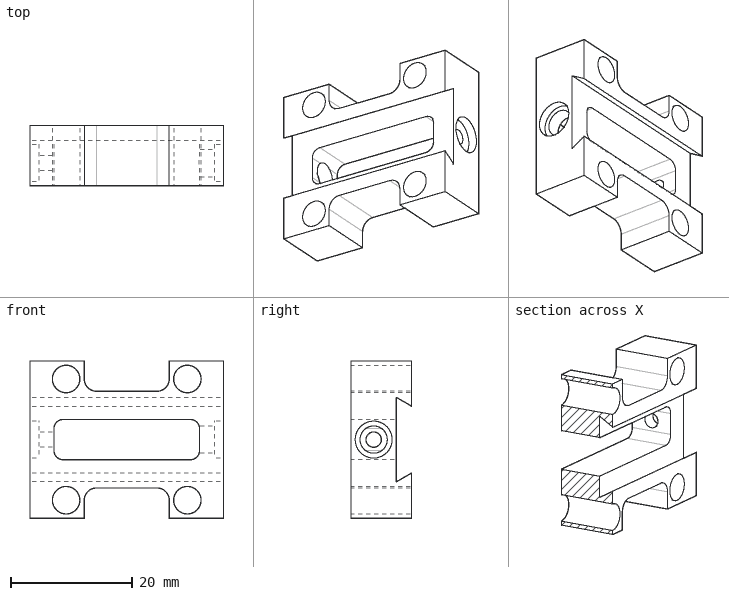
import cadquery as cq
import math

LENGTH = 32.0
DEPTH = 10.0
HEIGHT = 26.0

CORNER_HOLE_DIAMETER = 4.5
CORNER_HOLE_SPACING = 20.0

NOTCH_WIDTH = 14.0
NOTCH_DEPTH = 5.0
NOTCH_CORNER_RADIUS = 2.0

WINDOW_LENGTH = 24.0
WINDOW_HEIGHT = 6.6
WINDOW_CORNER_RADIUS = 1.5

DOVETAIL_DEPTH = 2.5
DOVETAIL_MOUTH = 11.0
DOVETAIL_FLANK_ANGLE = 30.0

NARROW_BORE_DIAMETER = 2.5
COUNTERBORE_DIAMETER = 6.1
COUNTERBORE_DEPTH = 1.5
WIDE_BORE_DIAMETER = 4.5

LEFT_FACE = -LENGTH / 2
RIGHT_FACE = LENGTH / 2
BACK_FACE = DEPTH / 2
DOVETAIL_FLOOR = BACK_FACE - DOVETAIL_DEPTH
CROSS_HOLE_Y = (-DEPTH / 2 + DOVETAIL_FLOOR) / 2


def rounded_bar(length, height, radius):
    """Bar running the full depth in Y with its four long edges rounded."""
    return cq.Workplane("XY").box(length, DEPTH, height).edges("|Y").fillet(radius)


def edge_notch(side):
    """Notch cutter for the top (side=1) or bottom (side=-1) edge.

    The cutter is centred on the outer face, so only its inner half removes material.
    """
    cutter = rounded_bar(NOTCH_WIDTH, 2 * NOTCH_DEPTH, NOTCH_CORNER_RADIUS)
    return cutter.translate((0, 0, side * HEIGHT / 2))


def corner_holes():
    return (
        cq.Workplane("XZ")
        .rarray(CORNER_HOLE_SPACING, CORNER_HOLE_SPACING, 2, 2)
        .circle(CORNER_HOLE_DIAMETER / 2)
        .extrude(DEPTH / 2, both=True)
    )


def dovetail_channel():
    half_mouth = DOVETAIL_MOUTH / 2
    half_floor = half_mouth + DOVETAIL_DEPTH * math.tan(math.radians(DOVETAIL_FLANK_ANGLE))
    profile = [
        (BACK_FACE, -half_mouth),
        (DOVETAIL_FLOOR, -half_floor),
        (DOVETAIL_FLOOR, half_floor),
        (BACK_FACE, half_mouth),
    ]
    return cq.Workplane("YZ").polyline(profile).close().extrude(LENGTH / 2, both=True)


def cross_cylinder(diameter, start_x, end_x):
    """Cylinder on the cross hole axis between two X positions."""
    start = cq.Workplane("YZ", origin=(start_x, CROSS_HOLE_Y, 0))
    return start.circle(diameter / 2).extrude(end_x - start_x)


def cross_hole():
    """Narrow bore through the -X wall, wide bore through the +X wall, equal counterbores."""
    narrow_bore = cross_cylinder(NARROW_BORE_DIAMETER, LEFT_FACE, 0)
    wide_bore = cross_cylinder(WIDE_BORE_DIAMETER, 0, RIGHT_FACE)
    left_counterbore = cross_cylinder(COUNTERBORE_DIAMETER, LEFT_FACE, LEFT_FACE + COUNTERBORE_DEPTH)
    right_counterbore = cross_cylinder(COUNTERBORE_DIAMETER, RIGHT_FACE - COUNTERBORE_DEPTH, RIGHT_FACE)
    return narrow_bore.union(wide_bore).union(left_counterbore).union(right_counterbore)


result = cq.Workplane("XY").box(LENGTH, DEPTH, HEIGHT)
for side in (1, -1):
    result = result.cut(edge_notch(side))
result = (
    result.cut(rounded_bar(WINDOW_LENGTH, WINDOW_HEIGHT, WINDOW_CORNER_RADIUS))
    .cut(corner_holes())
    .cut(dovetail_channel())
    .cut(cross_hole())
)